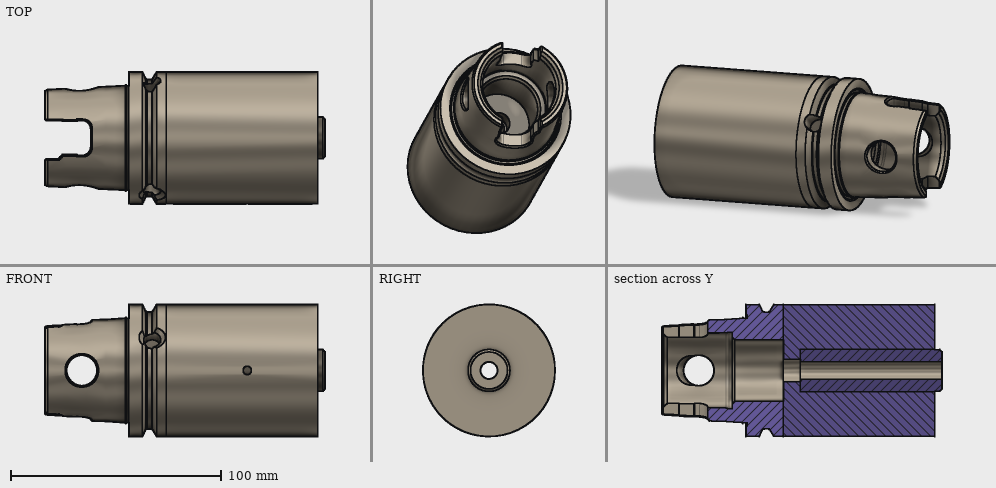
import cadquery as cq
import math

total_length = 133.5
flange_face_x = 40.0
joint_x = 58.0
sleeve_end_x = 130.1

body_radius = 31.5
tip_chamfer = 0.7
tip_chamfer_length = 1.3
taper_tip_radius = 23.1
taper_foot_radius = 25.0
taper_foot_x = 38.3
foot_ridge_x = 38.6
foot_ridge_radius = 25.4
relief_wall_x = 39.0
relief_floor_x = 40.6
relief_floor_radius = 26.2
relief_mouth_radius = 27.0

groove_start_x = 46.5
groove_end_x = 53.3
groove_shoulder_radius = 28.2
groove_floor_radius = 27.9
groove_left_shoulder_x = 48.1
groove_left_floor_x = 48.9
groove_right_floor_x = 50.9
groove_right_shoulder_x = 51.3

mouth_radius = 20.5
lead_in_radius = 19.0
lead_in_length = 1.0
shank_bore_radius = 17.8
lead_in_end_x = 2.7
shank_bore_end_x = 30.5
bore_relief_radius = 18.2
bore_relief_start_x = 31.8
bore_floor_x = 33.5
head_bore_radius = 14.5
head_bore_chamfer = 1.2

slot_pad_half_width = 7.9
slot_half_width = 8.3
slot_tip_flare = 0.7
slot_pad_start_x = 8.4
slot_pad_end_x = 15.2
slot_end_x = 21.8
slot_corner_radius = 3.9
slot_wide_half_width = 9.9
slot_edge_chamfer = 0.8

clamp_hole_x = 17.6
clamp_hole_radius = 7.2
clamp_hole_chamfer = 0.8
clamp_ramp_radius = 7.1
clamp_ramp_angle = 35.0
clamp_ramp_start = 20.4

flange_hole_x = 51.1
flange_hole_radius = 4.0
flange_hole_mouth_radius = 6.3
flange_hole_tilt = 30.0
flange_hole_floor_radius = 22.2

spindle_radius = 10.0
spindle_bore_radius = 4.0
spindle_nose_chamfer = 1.2
sleeve_wall = 8.0
sleeve_wall_hole_radius = 5.2
side_hole_x = 96.4
side_hole_radius = 2.0

spindle_start_x = joint_x + sleeve_wall
overrun = 1.3
tolerance = 0.01


def revolve_about_x(points):
    """Solid of revolution about X from a closed (x, radius) outline."""
    outline = cq.Workplane("XY").polyline(points).close()
    return outline.revolve(360, (0, 0, 0), (1, 0, 0))


def cylinder_along(direction, start, radius, length):
    return cq.Workplane(cq.Solid.makeCylinder(radius, length, cq.Vector(*start), cq.Vector(*direction)))


def head_blank():
    return revolve_about_x([
        (0, mouth_radius),
        (0, taper_tip_radius - tip_chamfer),
        (tip_chamfer_length, taper_tip_radius),
        (taper_foot_x, taper_foot_radius),
        (foot_ridge_x, foot_ridge_radius),
        (relief_wall_x, taper_foot_radius),
        (relief_floor_x, taper_foot_radius),
        (relief_floor_x, relief_floor_radius),
        (flange_face_x, relief_mouth_radius),
        (flange_face_x, body_radius),
        (groove_start_x, body_radius),
        (groove_left_shoulder_x, groove_shoulder_radius),
        (groove_left_floor_x, groove_floor_radius),
        (groove_right_floor_x, groove_floor_radius),
        (groove_right_shoulder_x, groove_shoulder_radius),
        (groove_end_x, body_radius),
        (joint_x, body_radius),
        (joint_x, head_bore_radius),
        (bore_floor_x + head_bore_chamfer, head_bore_radius),
        (bore_floor_x, head_bore_radius + head_bore_chamfer),
        (bore_floor_x, bore_relief_radius),
        (bore_relief_start_x, bore_relief_radius),
        (shank_bore_end_x, shank_bore_radius),
        (lead_in_end_x, shank_bore_radius),
        (lead_in_length, lead_in_radius),
    ])


def drive_slot_cutter():
    """Prism through both walls, wide at the tip on its -Y side and narrowed by a pad on each side."""
    pad_relief = slot_half_width - slot_pad_half_width
    wide_step = slot_wide_half_width - slot_pad_half_width
    flare = slot_tip_flare + overrun
    cutter = (
        cq.Workplane("XY")
        .moveTo(-overrun, slot_half_width + flare)
        .lineTo(slot_tip_flare, slot_half_width)
        .lineTo(slot_pad_start_x - pad_relief, slot_half_width)
        .lineTo(slot_pad_start_x, slot_pad_half_width)
        .lineTo(slot_pad_end_x, slot_pad_half_width)
        .lineTo(slot_pad_end_x + pad_relief, slot_half_width)
        .lineTo(slot_end_x, slot_half_width)
        .lineTo(slot_end_x, -slot_half_width)
        .lineTo(slot_pad_end_x + pad_relief, -slot_half_width)
        .lineTo(slot_pad_end_x, -slot_pad_half_width)
        .lineTo(slot_pad_start_x, -slot_pad_half_width)
        .lineTo(slot_pad_start_x - wide_step, -slot_wide_half_width)
        .lineTo(slot_tip_flare, -slot_wide_half_width)
        .lineTo(-overrun, -slot_wide_half_width - flare)
        .close()
        .extrude(body_radius, both=True)
    )
    return cutter.edges("|Z").edges(">X").fillet(slot_corner_radius)


def is_slot_outer_edge(edge):
    """True for the slot's edges on the taper, leaving out those at the tip and inside the bore."""
    middle = edge.positionAt(0.5)
    box = edge.BoundingBox()
    behind_tip_chamfer = box.xmax > tip_chamfer_length + tolerance
    before_slot_end = box.xmax < slot_end_x + tolerance
    on_taper = math.hypot(middle.y, middle.z) > taper_tip_radius - tolerance
    return behind_tip_chamfer and before_slot_end and on_taper


def cut_drive_slots(head):
    head = head.cut(drive_slot_cutter())
    slot_edges = [edge for edge in head.edges().vals() if is_slot_outer_edge(edge)]
    return head.newObject(slot_edges).chamfer(slot_edge_chamfer)


def is_clamp_hole_mouth(edge):
    """True for the two edges where the cross hole meets the outside of the taper."""
    box = edge.BoundingBox()
    around_hole = math.isclose(box.center.x, clamp_hole_x, abs_tol=tolerance) and box.xlen > clamp_hole_radius
    outside = max(abs(box.ymin), abs(box.ymax)) > taper_tip_radius
    return around_hole and outside


def clamp_ramp_cutter(side):
    """Leaning cylinder that widens the inner end of a clamping hole towards the shank tip."""
    lean = math.radians(clamp_ramp_angle)
    direction = (-math.sin(lean), -side * math.cos(lean), 0)
    start = (clamp_hole_x, side * clamp_ramp_start, 0)
    length = clamp_ramp_start / math.cos(lean)
    return cylinder_along(direction, start, clamp_ramp_radius, length)


def cut_clamp_holes(head):
    """Cross hole with a chamfered mouth on both sides of the shank."""
    head = head.cut(cylinder_along(
        (0, 1, 0), (clamp_hole_x, -body_radius, 0), clamp_hole_radius, 2 * body_radius))
    mouth_edges = [edge for edge in head.edges().vals() if is_clamp_hole_mouth(edge)]
    head = head.newObject(mouth_edges).chamfer(clamp_hole_chamfer)
    for side in (-1, 1):
        head = head.cut(clamp_ramp_cutter(side))
    return head


def flange_hole_cutter(side, countersunk):
    """Flat-bottomed radial hole on the side's Y half, tilted towards +Z."""
    tilt = math.radians(flange_hole_tilt)
    direction = (0, side * math.cos(tilt), math.sin(tilt))
    start = (flange_hole_x, direction[1] * flange_hole_floor_radius, direction[2] * flange_hole_floor_radius)
    depth = body_radius + overrun - flange_hole_floor_radius
    cutter = cylinder_along(direction, start, flange_hole_radius, depth)
    if countersunk:
        mouth_depth = flange_hole_mouth_radius - flange_hole_radius
        cone_start = [flange_hole_x] + [part * (body_radius - mouth_depth) for part in direction[1:]]
        cone = cq.Solid.makeCone(
            flange_hole_radius, flange_hole_mouth_radius + overrun, mouth_depth + overrun,
            cq.Vector(*cone_start), cq.Vector(*direction))
        cutter = cutter.union(cq.Workplane(cone))
    return cutter


def make_head():
    head = cut_drive_slots(head_blank())
    head = cut_clamp_holes(head)
    head = head.cut(flange_hole_cutter(-1, True))
    return head.cut(flange_hole_cutter(1, False))


def make_sleeve():
    sleeve = revolve_about_x([
        (joint_x, sleeve_wall_hole_radius),
        (joint_x, body_radius),
        (sleeve_end_x, body_radius),
        (sleeve_end_x, spindle_radius),
        (spindle_start_x, spindle_radius),
        (spindle_start_x, sleeve_wall_hole_radius),
    ])
    side_hole = cylinder_along((0, 1, 0), (side_hole_x, -body_radius - overrun, 0), side_hole_radius,
                               body_radius + overrun)
    return sleeve.cut(side_hole)


def make_spindle():
    return revolve_about_x([
        (spindle_start_x, spindle_bore_radius),
        (spindle_start_x, spindle_radius),
        (total_length - spindle_nose_chamfer, spindle_radius),
        (total_length, spindle_radius - spindle_nose_chamfer),
        (total_length, spindle_bore_radius),
    ])


head = make_head()
sleeve = make_sleeve()
spindle = make_spindle()
result = cq.Compound.makeCompound([head.val(), sleeve.val(), spindle.val()])